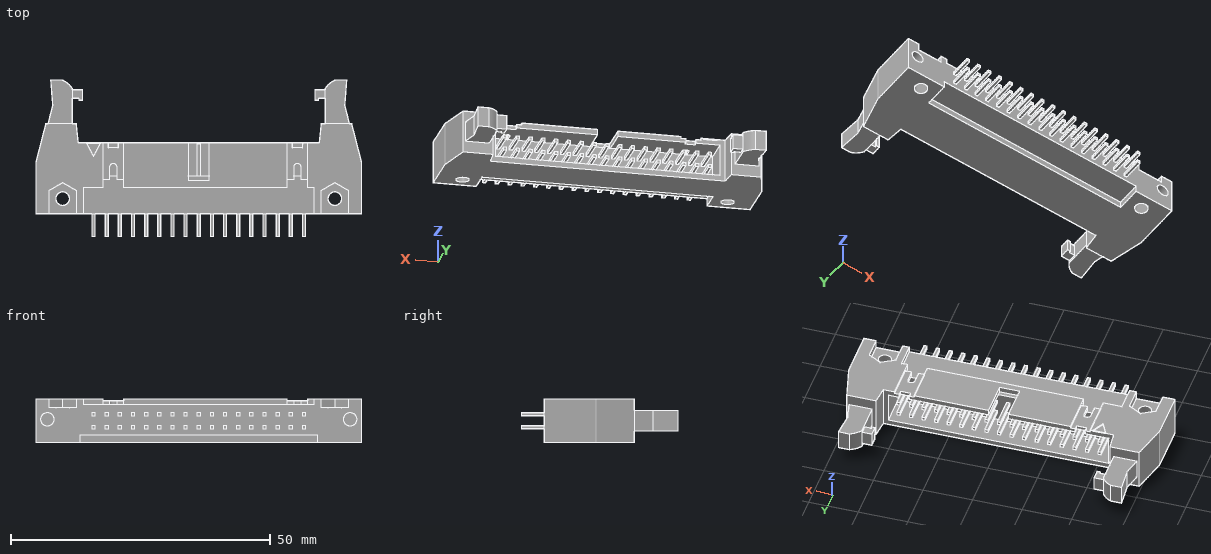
import cadquery as cq
import math

pin_columns = 17
pin_pitch = 2.54
pin_width = 0.6
pin_tail = 4.4
pin_tip_setback = 0.25

length = 62.8
height = 8.5
shroud_depth = 13.75
shroud_half = 23.25
wall = 1.1
cavity_floor_y = 7.35
cavity_half = 22.2
mid_z = height / 2

flank_y = 10.05
tower_depth = 17.4
tower_outer = 29.5
tower_inner = 23.6

step_depth_y = 5.1
top_step_half = 22.2
bottom_step_half = 22.85
bottom_step_height = 1.5

key_width = 4.0
key_front_y = 6.45

channel_centers = (-6.5 * pin_pitch, 7.5 * pin_pitch)
channel_width = 3.95
channel_depth = 0.4
channel_sill_y = 6.6
slot_width = 1.4
slot_end_y = 9.75
notch_width = 2.0
notch_depth_y = 0.95

mark_half_width = 1.3
mark_length = 2.5
mark_setback = 0.1
mark_depth = 0.2

hole_diameter = 2.6
mount_x = 26.25
mount_y = 2.95
nut_flats = 5.35
nut_depth = 1.7
front_hole_x = 29.2
front_hole_z = 4.5
front_hole_depth = 5.0

latch_tip_y = 25.9
latch_height = 3.95
latch_root_y = 15.1
latch_inner = 24.35
latch_waist = (28.2, 21.0)
latch_heel = 29.1
latch_tip_outer = 28.6
latch_tip_inner = 26.4
latch_nose_y = 24.2
latch_nose_mid = (25.25, 25.2)
hook_height = 2.8
hook_reach = 22.4
hook_back_y = 24.0
hook_front_y = 22.3
lip_front_y = 21.9
lip_x = 23.1


def block(x0, x1, y0, y1, z0, z1):
    """Axis-aligned block between two opposite corners."""
    return cq.Workplane("XY").box(x1 - x0, y1 - y0, z1 - z0, centered=False).translate((x0, y0, z0))


def both_ends(solid):
    """Solid together with its mirror image across X = 0."""
    return solid.union(solid.mirror("YZ"))


def make_shell():
    """Solid body with its two towers, hollowed from the back."""
    right_side = [
        (length / 2, 0),
        (length / 2, flank_y),
        (tower_outer, tower_depth),
        (tower_inner, tower_depth),
        (shroud_half, shroud_depth),
    ]
    left_side = [(-x, y) for x, y in reversed(right_side)]
    shell = cq.Workplane("XY").polyline(right_side + left_side).close().extrude(height)
    return shell.cut(
        block(-cavity_half, cavity_half, cavity_floor_y, shroud_depth, wall, height - wall)
    )


def make_front_steps():
    """Material removed along the upper and lower front edges."""
    top = block(-top_step_half, top_step_half, 0, step_depth_y, height - wall, height)
    bottom = block(-bottom_step_half, bottom_step_half, 0, step_depth_y, 0, bottom_step_height)
    return top.union(bottom)


def make_channel(center):
    """Shallow channel with its round-ended slot and back-edge notch."""
    left = center - channel_width / 2
    right = center + channel_width / 2
    step_z = height - wall
    slot_radius = slot_width / 2
    slot_arc_y = slot_end_y - slot_radius

    channel = block(left, right, channel_sill_y, shroud_depth, height - channel_depth, height)
    sill = block(left, right, step_depth_y, channel_sill_y, step_z, height)
    slot = block(
        center - slot_radius, center + slot_radius, channel_sill_y, slot_arc_y, step_z, height
    )
    slot_end = (
        cq.Workplane("XY", origin=(center, slot_arc_y, step_z)).circle(slot_radius).extrude(wall)
    )
    notch = block(
        center - notch_width / 2, center + notch_width / 2,
        shroud_depth - notch_depth_y, shroud_depth, step_z, height,
    )
    return channel.union(sill).union(slot).union(slot_end).union(notch)


def make_pin_one_mark():
    """Engraved triangle over the first pin column."""
    x = -pin_pitch * (pin_columns - 1) / 2
    base_y = shroud_depth - mark_setback
    corners = [
        (x - mark_half_width, base_y),
        (x + mark_half_width, base_y),
        (x, base_y - mark_length),
    ]
    plane = cq.Workplane("XY", origin=(0, 0, height - mark_depth))
    return plane.polyline(corners).close().extrude(mark_depth)


def make_mounting_cut():
    """Through hole with a hexagonal nut pocket open to the front, and a blind front hole."""
    hole = cq.Workplane("XY").center(mount_x, mount_y).circle(hole_diameter / 2).extrude(height)
    floor_z = height - nut_depth
    nut_corner_diameter = nut_flats / math.cos(math.pi / 6)
    nut = (
        cq.Workplane("XY", origin=(mount_x, mount_y, floor_z))
        .transformed(rotate=(0, 0, 90))
        .polygon(6, nut_corner_diameter)
        .extrude(nut_depth)
    )
    opening = block(
        mount_x - nut_flats / 2, mount_x + nut_flats / 2, 0, mount_y, floor_z, height
    )
    front_hole = (
        cq.Workplane("XZ", origin=(front_hole_x, 0, front_hole_z))
        .circle(hole_diameter / 2)
        .extrude(-front_hole_depth)
    )
    return hole.union(nut).union(opening).union(front_hole)


def make_latch():
    """Latch arm with a rounded nose and an inward hook."""
    arm = (
        cq.Workplane("XY", origin=(0, 0, mid_z - latch_height / 2))
        .moveTo(latch_inner, latch_root_y)
        .lineTo(latch_inner, latch_nose_y)
        .threePointArc(latch_nose_mid, (latch_tip_inner, latch_tip_y))
        .lineTo(latch_tip_outer, latch_tip_y)
        .lineTo(*latch_waist)
        .lineTo(latch_heel, tower_depth)
        .lineTo(latch_heel, latch_root_y)
        .close()
        .extrude(latch_height)
    )
    hook_z0 = mid_z - hook_height / 2
    hook_z1 = mid_z + hook_height / 2
    hook = block(hook_reach, latch_inner, hook_front_y, hook_back_y, hook_z0, hook_z1)
    lip = block(hook_reach, lip_x, lip_front_y, hook_front_y, hook_z0, hook_z1)
    return arm.union(hook).union(lip)


def make_pins():
    """Both rows of square pins."""
    pin_length = pin_tail + shroud_depth - pin_tip_setback
    return (
        cq.Workplane("XZ", origin=(0, -pin_tail, mid_z))
        .rarray(pin_pitch, pin_pitch, pin_columns, 2)
        .rect(pin_width, pin_width)
        .extrude(-pin_length)
    )


result = make_shell().cut(make_front_steps())
for channel_center in channel_centers:
    result = result.cut(make_channel(channel_center))
result = result.cut(
    block(-key_width / 2, key_width / 2, key_front_y, shroud_depth, height - wall, height)
)
result = result.cut(make_pin_one_mark())
result = result.cut(both_ends(make_mounting_cut()))
result = result.union(both_ends(make_latch()))
result = result.union(make_pins())